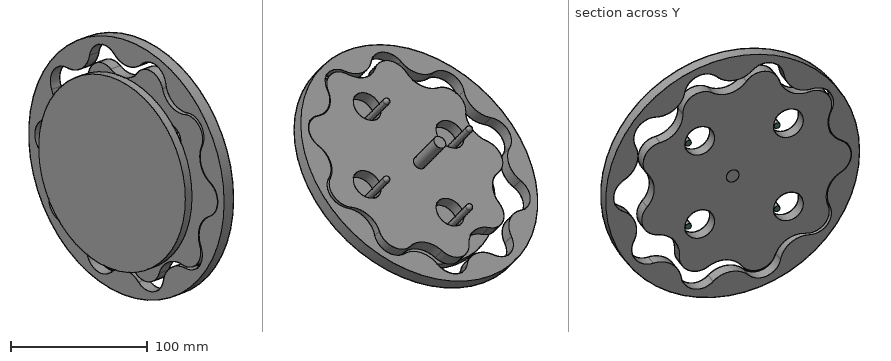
import cadquery as cq
import math


CARRIER_DIAMETER = 150.0
CARRIER_THICKNESS = 7.0
PIN_COUNT = 4
PIN_DIAMETER = 5.0
PIN_CIRCLE_RADIUS = 49.5
PIN_START_ANGLE = 45.0
PIN_SHOULDER_Y = 37.0
PIN_TIP_Y = 40.0

RING_DIAMETER = 200.0
GEAR_FRONT_Y = 15.0
GEAR_THICKNESS = 10.0
GEAR_BACK_Y = GEAR_FRONT_Y + GEAR_THICKNESS

LOBE_RADIUS = 15.0
VALLEY_RADIUS = 20.0
RING_LOBES = 10
RING_TIP_RADIUS = 93.5
RING_ANGLE = -1.0
ROTOR_LOBES = RING_LOBES - 1
ROTOR_TIP_RADIUS = 84.2
ROTOR_ANGLE = -1.3
ECCENTRICITY = 9.0

SHAFT_DIAMETER = 10.0
SHAFT_END_Y = 55.0

PIN_HOLE_CLEARANCE = 0.5
PIN_HOLE_DIAMETER = PIN_DIAMETER + 2 * ECCENTRICITY + PIN_HOLE_CLEARANCE


def polar(radius, degrees):
    """Point (x, z) at a radius and an angle turned from +X towards +Z."""
    angle = math.radians(degrees)
    return (radius * math.cos(angle), radius * math.sin(angle))


ROTOR_CENTER = (ECCENTRICITY, 0)
PIN_POINTS = [
    polar(PIN_CIRCLE_RADIUS, PIN_START_ANGLE + i * 360 / PIN_COUNT) for i in range(PIN_COUNT)
]


def plane_at(y):
    """Workplane at a given y, extruding towards +Y; its local axes are X and -Z."""
    return cq.Workplane(cq.Plane(origin=(0, y, 0), xDir=(1, 0, 0), normal=(0, 1, 0)))


def flipped(point):
    """Turn an (x, z) point into the local coordinates of plane_at()."""
    return (point[0], -point[1])


def cylinder(diameter, start_y, end_y, centers=((0, 0),)):
    """Round bars along Y at the given (x, z) centers."""
    points = [flipped(center) for center in centers]
    return plane_at(start_y).pushPoints(points).circle(diameter / 2).extrude(end_y - start_y)


def wavy_prism(lobes, tip_radius, start_angle, center):
    """Prism as thick as the gear layer, bounded by alternating lobe and valley arcs."""
    half_pitch = 180 / lobes
    lobe_center = tip_radius - LOBE_RADIUS
    center_distance = LOBE_RADIUS + VALLEY_RADIUS
    along, across = polar(lobe_center, half_pitch)
    valley_center = along + math.sqrt(center_distance**2 - across**2)
    valley_bottom = valley_center - VALLEY_RADIUS

    valley_x, valley_z = polar(valley_center, half_pitch)
    share = LOBE_RADIUS / center_distance
    joint_x = lobe_center + share * (valley_x - lobe_center)
    joint_z = share * valley_z
    joint_radius = math.hypot(joint_x, joint_z)
    joint_angle = math.degrees(math.atan2(joint_z, joint_x))

    def point(radius, angle):
        x, z = polar(radius, angle)
        return flipped((center[0] + x, center[1] + z))

    outline = plane_at(GEAR_FRONT_Y).moveTo(*point(joint_radius, start_angle - joint_angle))
    for i in range(lobes):
        lobe_angle = start_angle + 2 * half_pitch * i
        valley_angle = lobe_angle + half_pitch
        next_lobe_angle = valley_angle + half_pitch
        outline = outline.threePointArc(
            point(tip_radius, lobe_angle), point(joint_radius, lobe_angle + joint_angle)
        )
        outline = outline.threePointArc(
            point(valley_bottom, valley_angle), point(joint_radius, next_lobe_angle - joint_angle)
        )
    return outline.close().extrude(GEAR_THICKNESS)


def make_ring():
    disc = cylinder(RING_DIAMETER, GEAR_FRONT_Y, GEAR_BACK_Y)
    return disc.cut(wavy_prism(RING_LOBES, RING_TIP_RADIUS, RING_ANGLE, (0, 0)))


def make_rotor():
    """Lobed disc with orbiting pin holes and an off-center bore for the shaft."""
    rotor = wavy_prism(ROTOR_LOBES, ROTOR_TIP_RADIUS, ROTOR_ANGLE, ROTOR_CENTER)
    hole_points = [(x + ROTOR_CENTER[0], z + ROTOR_CENTER[1]) for x, z in PIN_POINTS]
    rotor = rotor.cut(cylinder(PIN_HOLE_DIAMETER, GEAR_FRONT_Y, GEAR_BACK_Y, hole_points))
    return rotor.cut(cylinder(SHAFT_DIAMETER, GEAR_FRONT_Y, GEAR_BACK_Y))


def make_pin(center):
    """Straight pin with a domed end, starting on the back of the carrier disc."""
    radius = PIN_DIAMETER / 2
    dome_height = PIN_TIP_Y - PIN_SHOULDER_Y
    dome_radius = (radius**2 + dome_height**2) / (2 * dome_height)
    half_angle = math.atan2(dome_height, radius)
    dome_point = (
        dome_radius * math.sin(half_angle),
        PIN_TIP_Y - dome_radius * (1 - math.cos(half_angle)),
    )
    profile = (
        cq.Workplane("XY")
        .moveTo(0, CARRIER_THICKNESS)
        .lineTo(radius, CARRIER_THICKNESS)
        .lineTo(radius, PIN_SHOULDER_Y)
        .threePointArc(dome_point, (0, PIN_TIP_Y))
        .close()
    )
    return profile.revolve(360, (0, 0), (0, 1)).translate((center[0], 0, center[1]))


def make_carrier():
    """Output disc with its drive pins."""
    carrier = cylinder(CARRIER_DIAMETER, 0, CARRIER_THICKNESS)
    for center in PIN_POINTS:
        carrier = carrier.union(make_pin(center))
    return carrier


ring = make_ring()
rotor = make_rotor()
carrier = make_carrier()
shaft = cylinder(SHAFT_DIAMETER, GEAR_FRONT_Y, SHAFT_END_Y)

result = cq.Compound.makeCompound([body.solids().val() for body in (ring, rotor, carrier, shaft)])